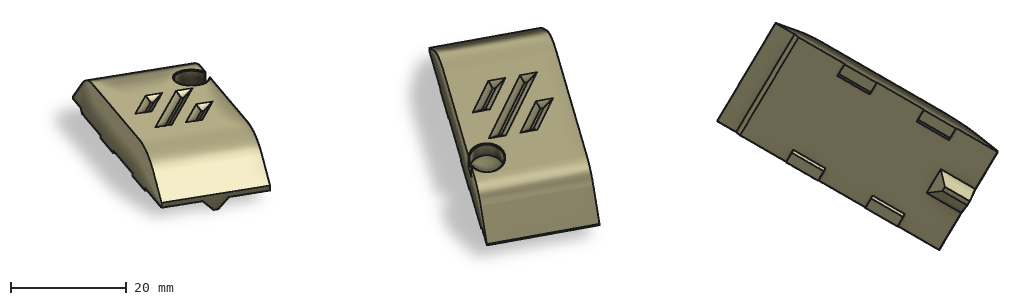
import cadquery as cq
import math

length = 44.55
width = 20.0
height = 8.05
front_tip_z = 1.2
rear_tip_z = 1.0
front_shoulder_radius = 7.0
rear_shoulder_radius = 10.25

step_length = 3.8
step_height = 0.8

pad_starts = (13.8, 29.7)
pad_length = 6.45
pad_thickness = 0.5
pad_width = 2.45

keel_start = 37.55
keel_depth = 2.0
keel_width = 4.85

bore_diameter = 6.0
bore_depth = 3.1
bore_chamfer = 0.2
bore_x = 13.28
bore_edge_distance = 3.05
bore_slot_width = 2.2

groove_center_x = 23.52
groove_length = 12.4
groove_opening = 3.05
groove_slope = -0.676
groove_inset = 1.02
groove_depth = 1.0
short_groove_offset_y = 3.5


def make_body():
    front_corner_x = height - front_tip_z
    rear_corner_x = length - (height - rear_tip_z)
    profile = (
        cq.Workplane("XZ", origin=(0, width / 2, 0))
        .moveTo(0, step_height)
        .lineTo(0, front_tip_z)
        .lineTo(front_corner_x, height)
        .lineTo(rear_corner_x, height)
        .lineTo(length, rear_tip_z)
        .lineTo(length, 0)
        .lineTo(step_length + step_height, 0)
        .lineTo(step_length, step_height)
        .close()
    )
    shoulders = profile.extrude(width)
    shoulders = shoulders.edges(
        cq.selectors.NearestToPointSelector((front_corner_x, 0, height))
    ).fillet(front_shoulder_radius)
    return shoulders.edges(
        cq.selectors.NearestToPointSelector((rear_corner_x, 0, height))
    ).fillet(rear_shoulder_radius)


def make_pad(start_x, side):
    outer_y = side * width / 2
    inner_y = side * (width / 2 - pad_width)
    inner_bottom_y = inner_y + side * pad_thickness
    section = [(outer_y, 0), (inner_y, 0), (inner_bottom_y, -pad_thickness), (outer_y, -pad_thickness)]
    return cq.Workplane("YZ", origin=(start_x, 0, 0)).polyline(section).close().extrude(pad_length)


def make_keel():
    half_top = keel_width / 2
    half_bottom = half_top - keel_depth
    section = [(-half_top, 0), (half_top, 0), (half_bottom, -keel_depth), (-half_bottom, -keel_depth)]
    ridge = (
        cq.Workplane("YZ", origin=(keel_start, 0, 0))
        .polyline(section).close().extrude(length - keel_start)
    )
    nose = (
        cq.Workplane("XZ", origin=(0, half_top, 0))
        .polyline([(keel_start, 0), (keel_start + keel_depth, -keel_depth), (keel_start, -keel_depth)])
        .close().extrude(keel_width)
    )
    return ridge.cut(nose)


def make_bore():
    center_y = width / 2 - bore_edge_distance
    radius = bore_diameter / 2
    floor_z = height - bore_depth
    bore = cq.Workplane("XY", origin=(bore_x, center_y, floor_z)).circle(radius).extrude(bore_depth)
    countersink = (
        cq.Workplane("XY", origin=(bore_x, center_y, height - bore_chamfer))
        .circle(radius)
        .workplane(offset=bore_chamfer)
        .circle(radius + bore_chamfer)
        .loft(ruled=True)
    )
    slot = (
        cq.Workplane("XY", origin=(bore_x, center_y + bore_edge_distance / 2, floor_z))
        .rect(bore_slot_width, bore_edge_distance)
        .extrude(bore_depth)
    )
    return bore.union(countersink).union(slot)


def slanted_outline(half_length, half_opening):
    half_rise = groove_slope * half_length
    return [
        (-half_length, -half_rise - half_opening),
        (half_length, half_rise - half_opening),
        (half_length, half_rise + half_opening),
        (-half_length, -half_rise + half_opening),
    ]


def make_groove(center_x, center_y, run):
    inset_y = groove_inset * math.hypot(1, groove_slope)
    opening = slanted_outline(run / 2, groove_opening / 2)
    floor = slanted_outline(run / 2 - groove_inset, groove_opening / 2 - inset_y)
    return (
        cq.Workplane("XY", origin=(center_x, center_y, height))
        .polyline(opening).close()
        .workplane(offset=-groove_depth)
        .polyline(floor).close()
        .loft(ruled=True)
    )


result = make_body().union(make_keel())
for start_x in pad_starts:
    for side in (-1, 1):
        result = result.union(make_pad(start_x, side))

result = result.cut(make_bore())
result = result.cut(make_groove(groove_center_x, 0, groove_length))
for side in (-1, 1):
    short_center_x = groove_center_x + side * groove_length / 4
    result = result.cut(make_groove(short_center_x, side * short_groove_offset_y, groove_length / 2))